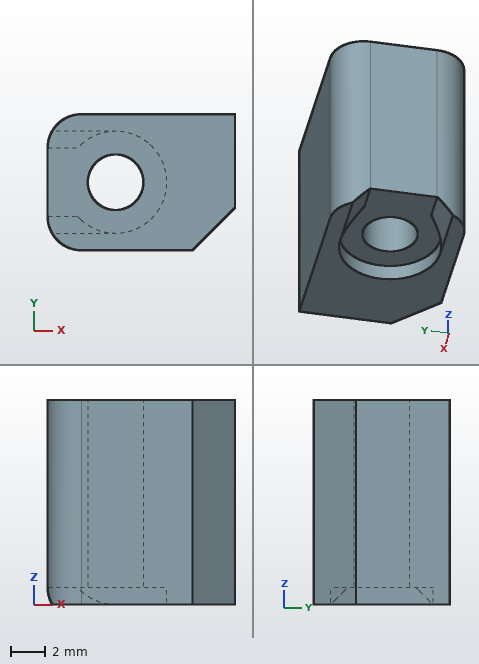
import cadquery as cq

length = 11.0
width = 8.0
height = 12.0
corner_radius = 2.0
corner_chamfer = 2.5

hole_diameter = 3.25
hole_x = 4.0

pocket_diameter = 6.0
pocket_depth = 1.0

channel_bottom_width = pocket_diameter
channel_top_width = channel_bottom_width - 2 * pocket_depth


def make_block():
    """Block with two rounded corners at -X and one chamfered corner at +X, -Y."""
    block = cq.Workplane("XY").box(length, width, height, centered=(False, True, False))
    block = block.edges("|Z and <X").fillet(corner_radius)
    return block.edges("|Z and >X and <Y").chamfer(corner_chamfer)


def make_cylinder(diameter, depth):
    """Cylinder on the hole axis, rising from the underside."""
    return cq.Workplane("XY").center(hole_x, 0).circle(diameter / 2).extrude(depth)


def make_channel():
    """Trapezoidal channel that runs from the -X face to the hole axis."""
    section = [
        (-channel_bottom_width / 2, 0),
        (channel_bottom_width / 2, 0),
        (channel_top_width / 2, pocket_depth),
        (-channel_top_width / 2, pocket_depth),
    ]
    return cq.Workplane("YZ").polyline(section).close().extrude(hole_x)


hole = make_cylinder(hole_diameter, height)
pocket = make_cylinder(pocket_diameter, pocket_depth)

result = make_block().cut(hole).cut(pocket).cut(make_channel())